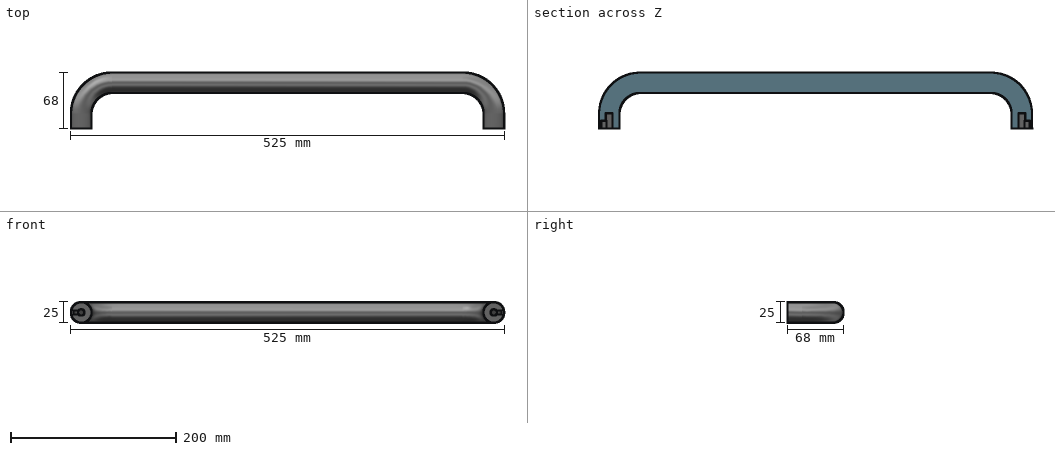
import cadquery as cq

overall_length = 525.0
overall_depth = 68.0
bar_diameter = 25.0
bend_radius = 38.0

hole_diameter = 8.0
hole_depth = 18.5
slot_width = 4.5
slot_reach = 9.5
slot_depth = 9.5

leg_x = (overall_length - bar_diameter) / 2
grip_y = overall_depth - bar_diameter / 2
leg_length = grip_y - bend_radius
grip_half_length = leg_x - bend_radius


def bent_bar():
    path = (
        cq.Workplane("XY")
        .moveTo(-leg_x, 0)
        .lineTo(-leg_x, leg_length)
        .tangentArcPoint((-grip_half_length, grip_y), relative=False)
        .lineTo(grip_half_length, grip_y)
        .tangentArcPoint((leg_x, leg_length), relative=False)
        .lineTo(leg_x, 0)
    )
    profile = cq.Workplane("XZ", origin=(-leg_x, 0, 0)).circle(bar_diameter / 2)
    return profile.sweep(path)


def mounting_recess(side):
    """Hole and outward slot for the leg at side -1 (left) or +1 (right)."""
    leg_face = cq.Workplane("XZ", origin=(side * leg_x, 0, 0))
    hole = leg_face.circle(hole_diameter / 2).extrude(-hole_depth)
    slot = (
        leg_face.center(side * slot_reach / 2, 0)
        .rect(slot_reach, slot_width)
        .extrude(-slot_depth)
    )
    return hole.union(slot)


result = bent_bar()
for side in (-1, 1):
    result = result.cut(mounting_recess(side))